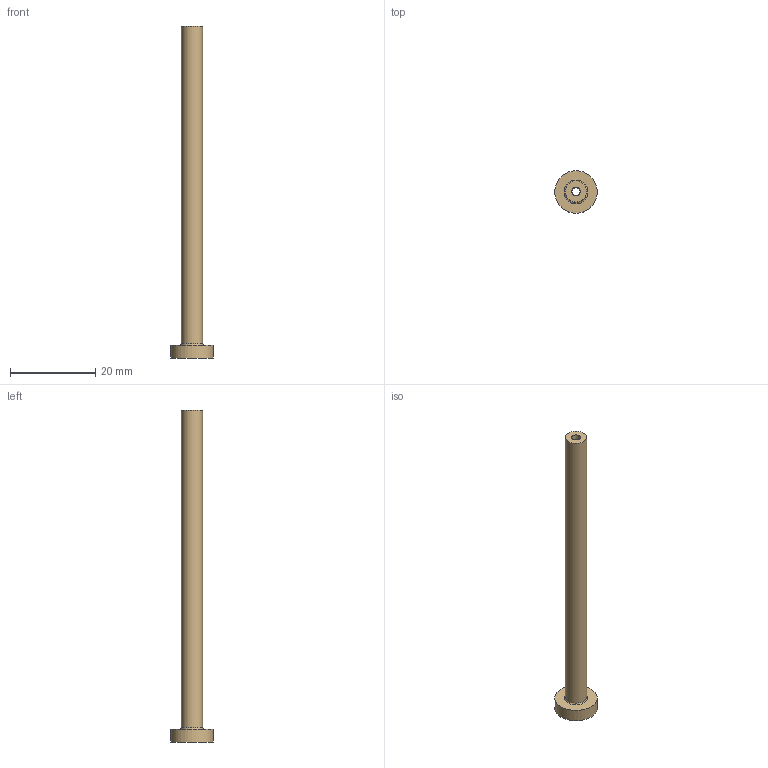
import cadquery as cq

overall_length = 78.0
head_diameter = 10.0
head_thickness = 3.0
shaft_diameter = 5.0
bore_diameter = 2.0
neck_fillet_radius = 0.3

head_radius = head_diameter / 2
shaft_radius = shaft_diameter / 2
bore_radius = bore_diameter / 2


def sleeve_profile():
    """Half section in the XZ plane, from the bore wall out to the rim of the head."""
    fillet_center_x = shaft_radius + neck_fillet_radius
    fillet_top_z = head_thickness + neck_fillet_radius
    return (
        cq.Workplane("XZ")
        .moveTo(bore_radius, 0)
        .lineTo(head_radius, 0)
        .lineTo(head_radius, head_thickness)
        .lineTo(fillet_center_x, head_thickness)
        .radiusArc((shaft_radius, fillet_top_z), neck_fillet_radius)
        .lineTo(shaft_radius, overall_length)
        .lineTo(bore_radius, overall_length)
        .close()
    )


result = sleeve_profile().revolve(360, (0, 0, 0), (0, 1, 0))